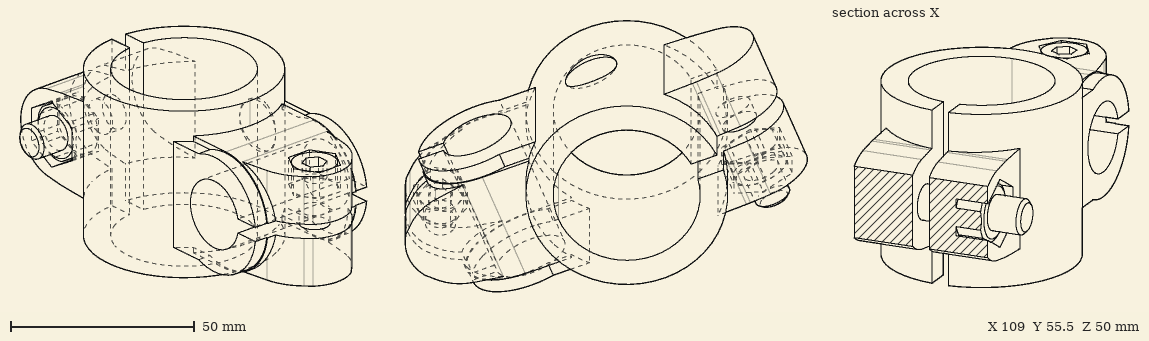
import cadquery as cq

tube_diameter = 54.9
tube_bore = 40.0
tube_height = 50.0
tube_slot_width = 4.9
spot_face_diameter = 15.0
spot_face_depth = 1.1
side_width = 40.0

lug_bolt_x = -32.0
lug_nose_x = -45.0
lug_nose_end = (-34.2, 13.0)
lug_flank_end = (-28.3, 13.8)
lug_blend_end = (-27.1, 14.0)
lug_root = (-17.4, 14.6)

lug_bolt_diameter = 10.0
lug_bolt_tip_y = -28.0
lug_bolt_chamfer = 1.0
nut_pocket_flats = 17.0
nut_pocket_depth = 9.5
nut_recess = 1.5
nut_flats = 15.9
nut_corner_diameter = 16.8
nut_face_diameter = 14.6
nut_chamfer_height = 0.7

clamp_x = 36.0
clamp_root_x = 15.3
clamp_bore = 20.0
clamp_slot_width = 4.2
clamp_core_radius = 17.5
clamp_core_width = 31.8
clamp_rim_radius = 17.2
clamp_rim_half_height = 15.9

ear_half_height = 16.5
ear_edge = (41.8, 15.1)
ear_flank_end = (50.6, 13.7)
ear_shoulder_end = (60.0, 8.6)
ear_tip_start = (61.8, 6.9)
ear_tip_x = 64.0

screw_x = 54.5
screw_diameter = 8.5
head_pocket_flats = 13.0
head_pocket_depth = 8.0
head_diameter = 12.6
head_recess = 0.2
socket_flats = 6.0
socket_depth = 5.0


def box(x_start, x_end, width, height):
    """Block centred on the X axis between two X positions."""
    length = x_end - x_start
    return cq.Workplane("XY").box(length, width, height).translate((x_start + length / 2, 0, 0))


def cylinder_along_y(x, radius, y_start, y_end):
    """Cylinder parallel to Y, on the plane Z = 0."""
    base = cq.Workplane("XZ", origin=(x, y_start, 0))
    return base.circle(radius).extrude(y_start - y_end)


def cylinder_along_z(x, radius, z_start, z_end):
    """Cylinder parallel to Z, on the plane Y = 0."""
    base = cq.Workplane("XY", origin=(x, 0, z_start))
    return base.circle(radius).extrude(z_end - z_start)


def hexagon(flats, height, turn=0):
    """Upright hexagonal prism standing on the origin, two corners on Y unless turned."""
    prism = cq.Workplane("XY").polygon(6, flats, circumscribed=True).extrude(height)
    return prism.rotate((0, 0, 0), (0, 0, 1), turn)


def on_lug_bolt(shape, y):
    """Turn an upright shape to point toward -Y and put its base on the lug bolt axis."""
    return shape.rotate((0, 0, 0), (1, 0, 0), 90).translate((lug_bolt_x, y, 0))


def make_split_lug():
    outline = (
        cq.Workplane("XZ", origin=(0, side_width / 2, 0))
        .moveTo(lug_root[0], -lug_root[1])
        .lineTo(lug_blend_end[0], -lug_blend_end[1])
        .lineTo(lug_flank_end[0], -lug_flank_end[1])
        .lineTo(lug_nose_end[0], -lug_nose_end[1])
        .threePointArc((lug_nose_x, 0), lug_nose_end)
        .lineTo(*lug_flank_end)
        .lineTo(*lug_blend_end)
        .lineTo(*lug_root)
        .close()
    )
    return outline.extrude(side_width)


def make_cross_clamp():
    core = cylinder_along_y(clamp_x, clamp_core_radius, -clamp_core_width / 2, clamp_core_width / 2)
    core = core.union(box(clamp_root_x, clamp_x, clamp_core_width, 2 * clamp_core_radius))
    rims = cylinder_along_y(clamp_x, clamp_rim_radius, -side_width / 2, side_width / 2)
    rims = rims.union(box(clamp_root_x, clamp_x, side_width, 2 * clamp_rim_half_height))
    return core.union(rims)


def make_ear():
    flank_slope = (ear_edge[1] - ear_flank_end[1]) / (ear_flank_end[0] - ear_edge[0])
    root_y = ear_edge[1] + flank_slope * (ear_edge[0] - clamp_x)
    tip_rise = ear_tip_x - ear_tip_start[0]
    tip_radius = (ear_tip_start[1] ** 2 + tip_rise**2) / (2 * tip_rise)
    half = (
        cq.Workplane("XY", origin=(0, 0, -ear_half_height))
        .moveTo(clamp_x, 0)
        .lineTo(clamp_x, root_y)
        .lineTo(*ear_flank_end)
        .tangentArcPoint(ear_shoulder_end, relative=False)
        .lineTo(*ear_tip_start)
        .radiusArc((ear_tip_x, 0), tip_radius)
        .close()
        .extrude(2 * ear_half_height)
    )
    return half.union(half.mirror("XZ"))


def make_nut(height):
    """Hexagonal nut standing on the origin, its corners turned round and its top chamfered."""
    blank = (
        cq.Workplane("XY")
        .circle(nut_corner_diameter / 2)
        .extrude(height)
        .faces(">Z")
        .chamfer(nut_chamfer_height, (nut_corner_diameter - nut_face_diameter) / 2)
    )
    return blank.intersect(hexagon(nut_flats, height))


tube = cylinder_along_z(0, tube_diameter / 2, -tube_height / 2, tube_height / 2)
body = tube.union(make_split_lug()).union(make_cross_clamp()).union(make_ear())

body = body.cut(cylinder_along_z(0, tube_bore / 2, -tube_height, tube_height))
body = body.cut(cylinder_along_y(clamp_x, clamp_bore / 2, -side_width, side_width))
spot_floor_y = tube_diameter / 2 - spot_face_depth
body = body.cut(cylinder_along_y(0, spot_face_diameter / 2, spot_floor_y, tube_diameter))

body = body.cut(box(-tube_diameter, 0, tube_slot_width, 2 * tube_height))
body = body.cut(box(clamp_x, 2 * ear_tip_x, 2 * side_width, clamp_slot_width))

lug_face_y = -side_width / 2
pocket_floor_y = lug_face_y + nut_pocket_depth
body = body.cut(on_lug_bolt(hexagon(nut_pocket_flats, nut_pocket_depth), pocket_floor_y))
body = body.union(on_lug_bolt(make_nut(nut_pocket_depth - nut_recess), pocket_floor_y))
lug_bolt = cylinder_along_y(lug_bolt_x, lug_bolt_diameter / 2, lug_bolt_tip_y, tube_slot_width)
body = body.union(lug_bolt.faces("<Y").chamfer(lug_bolt_chamfer))

head_floor_z = ear_half_height - head_pocket_depth
head_top_z = ear_half_height - head_recess
socket_floor_z = head_top_z - socket_depth
body = body.cut(hexagon(head_pocket_flats, head_pocket_depth).translate((screw_x, 0, head_floor_z)))
body = body.union(cylinder_along_z(screw_x, head_diameter / 2, head_floor_z, head_top_z))
body = body.union(cylinder_along_z(screw_x, screw_diameter / 2, -head_floor_z, head_floor_z))
socket = hexagon(socket_flats, socket_depth, turn=90)
result = body.cut(socket.translate((screw_x, 0, socket_floor_z)))